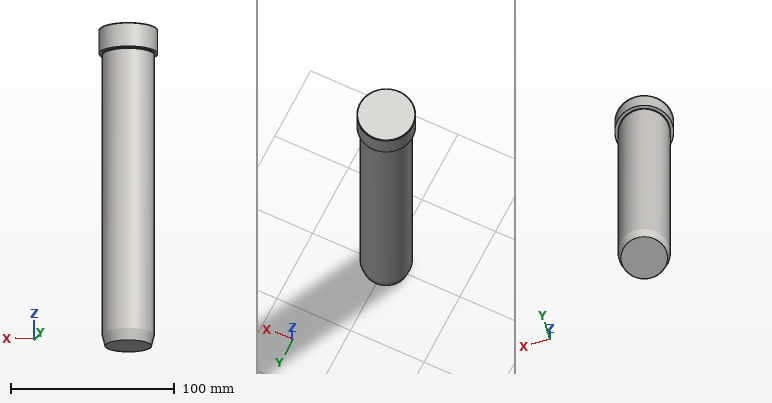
import cadquery as cq

total_length = 200.0

head_diameter = 36.0
head_height = 15.0
head_chamfer = 0.5

shank_diameter = 32.0
groove_diameter = 31.5
groove_width = 1.0

tip_diameter = 28.5
tip_length = 7.0

head_radius = head_diameter / 2
shank_radius = shank_diameter / 2
groove_radius = groove_diameter / 2
tip_radius = tip_diameter / 2
head_bottom = total_length - head_height
groove_bottom = head_bottom - groove_width
groove_middle = head_bottom - groove_width / 2

half_section = (
    cq.Workplane("XZ")
    .moveTo(0, 0)
    .lineTo(tip_radius, 0)
    .lineTo(shank_radius, tip_length)
    .lineTo(shank_radius, groove_bottom)
    .lineTo(groove_radius, groove_middle)
    .lineTo(shank_radius, head_bottom)
    .lineTo(head_radius, head_bottom)
    .lineTo(head_radius, total_length - head_chamfer)
    .lineTo(head_radius - head_chamfer, total_length)
    .lineTo(0, total_length)
    .close()
)

result = half_section.revolve(360, (0, 0, 0), (0, 1, 0))